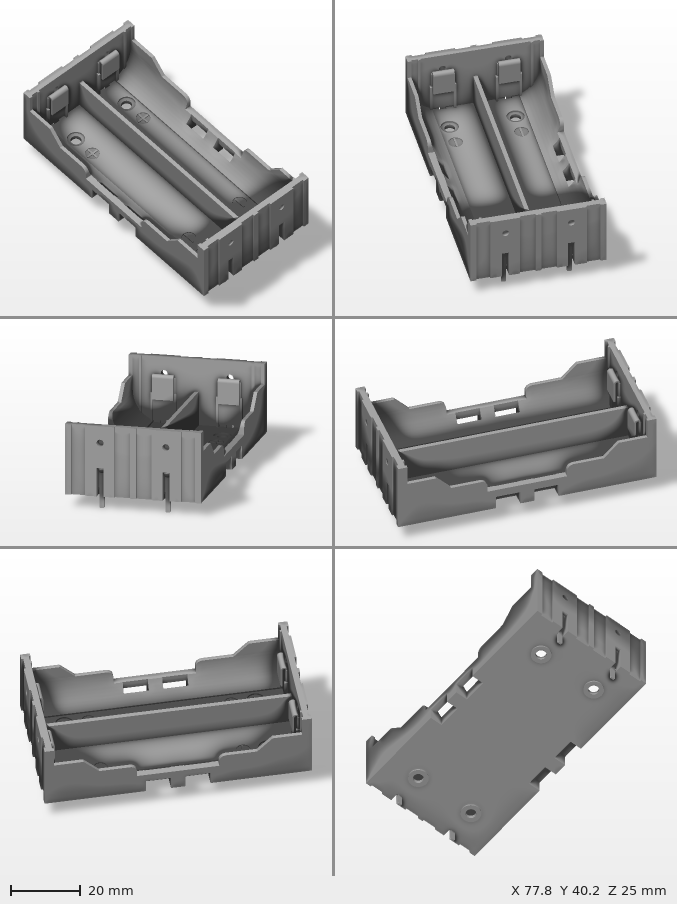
import cadquery as cq
import math

LENGTH = 77.8
WIDTH = 40.2
HEIGHT = 20.9
END_WALL = 2.3
SIDE_WALL = 1.1
INNER_END = LENGTH / 2 - END_WALL

BAY_Y = 9.7
FLOOR_Z = 1.3
CELL_RADIUS = WIDTH / 2 - SIDE_WALL - BAY_Y
CELL_AXIS_Z = 10.6
FLOOR_EDGE_Y = 12.9
DIVIDER_THICK = 1.25
DIVIDER_TOP = 11.35

POST_DEPTH = 2.8
SHOULDER_X = 27.55
SHOULDER_Z = 14.9
SILL_X = 23.0
SILL_Z = 10.4
FINGER_X = 12.0
FINGER_Z = 6.5
FINGER_FILLET = 2.0

WINDOW_X = 5.75
WINDOW_LENGTH = 7.3
WINDOW_INNER_Y = 16.2
WINDOW_FACE_Y = 18.2
WINDOW_HEIGHT = 4.05

GROOVE_DEPTH = 0.55
GROOVE_SPANS = [(0.85, 5.45), (14.2, 18.3)]

RIB_DEPTH = POST_DEPTH - END_WALL
RIB_WIDTH = 0.8
RIB_Y = 16.65
RAIL_DEPTH = 1.0
RAIL_WIDTH = 0.7
RAIL_TOP = 10.35

SLOT_WIDTH = 2.0
SLOT_TOP = 8.5
VENT_DIAMETER = 2.0
VENT_Z = 15.95

SCREW_X = 27.85
SCREW_DIAMETER = 3.1
COUNTERBORE_DIAMETER = 5.2
COUNTERBORE_DEPTH = 0.55
FOOT_DIAMETER = 5.9
FOOT_HEIGHT = 0.5
MARK_X = 20.8
MARK_DIAMETER = 4.2
MARK_DEPTH = 0.3
BAR_LENGTH = 3.9
BAR_WIDTH = 0.55

SHEET = 0.505
CONTACT_WIDTH = 6.3
BACK_LEAF_WIDTH = 6.85
CURL_RADIUS = 1.0
CONTACT_TOP = 15.95
FRONT_LEAF_BOTTOM = 8.55
BACK_LEAF_BOTTOM = 2.1
LEG_WIDTH = 1.5
LEG_BOTTOM = -4.05
LEG_CHAMFER = 0.2
BARB_BOTTOM = 6.45
BARB_PEAK = 7.9
BARB_DEPTH = 1.55


def block(x0, x1, y0, y1, z0, z1):
    """Box between two opposite corners, given in any order along each axis."""
    size = (abs(x1 - x0), abs(y1 - y0), abs(z1 - z0))
    centre = ((x0 + x1) / 2, (y0 + y1) / 2, (z0 + z1) / 2)
    return cq.Workplane("XY").box(*size).translate(centre)


def disc(x, y, z, diameter, height):
    """Upright cylinder whose base centre is at (x, y, z)."""
    return cq.Workplane("XY").circle(diameter / 2).extrude(height).translate((x, y, z))


def bay_cavity(side):
    """Space for one cell: flat floor, curved outer wall, then straight up and out of the top."""
    inner_y = DIVIDER_THICK / 2
    wall_y = BAY_Y + CELL_RADIUS
    edge_drop = math.sqrt(CELL_RADIUS**2 - (FLOOR_EDGE_Y - BAY_Y) ** 2)
    diagonal = CELL_RADIUS * math.sqrt(0.5)
    return (
        cq.Workplane("YZ")
        .moveTo(side * inner_y, FLOOR_Z)
        .lineTo(side * FLOOR_EDGE_Y, FLOOR_Z)
        .lineTo(side * FLOOR_EDGE_Y, CELL_AXIS_Z - edge_drop)
        .threePointArc((side * (BAY_Y + diagonal), CELL_AXIS_Z - diagonal), (side * wall_y, CELL_AXIS_Z))
        .lineTo(side * wall_y, HEIGHT)
        .lineTo(side * inner_y, HEIGHT)
        .close()
        .extrude(INNER_END, both=True)
    )


def side_opening(side):
    """Stepped opening in the upper part of one long wall."""
    post_x = LENGTH / 2 - POST_DEPTH
    half = [
        (post_x, HEIGHT),
        (post_x, SHOULDER_Z),
        (SHOULDER_X, SHOULDER_Z),
        (SILL_X, SILL_Z),
        (FINGER_X, SILL_Z),
        (FINGER_X, FINGER_Z),
    ]
    outline = half + [(-x, z) for x, z in reversed(half)]
    opening = cq.Workplane("XZ").polyline(outline).close().extrude(WIDTH / 2 - WINDOW_INNER_Y)
    for x in (-FINGER_X, FINGER_X):
        corner = cq.selectors.NearestToPointSelector((x, 0, SILL_Z))
        opening = opening.edges("|Y").edges(corner).fillet(FINGER_FILLET)
    opening = opening.translate((0, -WINDOW_INNER_Y, 0))
    return opening if side < 0 else opening.mirror("XZ")


def side_windows(side):
    """Two windows that pass under the lintel and break into the curved bay wall."""
    windows = cq.Workplane("XY")
    for x in (-WINDOW_X, WINDOW_X):
        x0 = x - WINDOW_LENGTH / 2
        x1 = x + WINDOW_LENGTH / 2
        windows = windows.add(block(x0, x1, side * WINDOW_INNER_Y, side * WIDTH / 2, 0, WINDOW_HEIGHT))
        windows = windows.add(block(x0, x1, side * WINDOW_INNER_Y, side * WINDOW_FACE_Y, 0, CELL_AXIS_Z))
    return windows.combine()


def polarity_mark(x, y, positive):
    """Shallow round recess that leaves a raised plus or minus sign."""
    z = FLOOR_Z - MARK_DEPTH
    recess = disc(x, y, z, MARK_DIAMETER, MARK_DEPTH)
    recess = recess.cut(cq.Workplane("XY").box(BAR_LENGTH, BAR_WIDTH, HEIGHT).translate((x, y, 0)))
    if positive:
        recess = recess.cut(cq.Workplane("XY").box(BAR_WIDTH, BAR_LENGTH, HEIGHT).translate((x, y, 0)))
    return recess


def end_grooves(end, side):
    """Shallow vertical grooves in one half of an outer end face."""
    outer_x = end * LENGTH / 2
    groove_x = outer_x - end * GROOVE_DEPTH
    grooves = cq.Workplane("XY")
    for y0, y1 in GROOVE_SPANS:
        grooves = grooves.add(block(groove_x, outer_x, side * y0, side * y1, 0, HEIGHT))
    return grooves.combine()


def end_ribs(end, side):
    """One full-height rib and the two contact rails of a bay, on the inner end face."""
    inner_x = end * INNER_END
    rib_x = inner_x - end * RIB_DEPTH
    rail_x = inner_x - end * RAIL_DEPTH
    rib_y = side * RIB_Y
    ribs = block(inner_x, rib_x, rib_y - RIB_WIDTH / 2, rib_y + RIB_WIDTH / 2, FLOOR_Z, HEIGHT)
    for edge in (-1, 1):
        rail_y = side * BAY_Y + edge * CONTACT_WIDTH / 2
        ribs = ribs.add(block(inner_x, rail_x, rail_y, rail_y + edge * RAIL_WIDTH, FLOOR_Z, RAIL_TOP))
    return ribs.combine()


def contact_seat(end, y):
    """Space for a contact: groove between the rails, leg slot and round vent in the end wall."""
    outer_x = end * LENGTH / 2
    inner_x = end * INNER_END
    sheet_x = inner_x - end * SHEET
    sheet_half = BACK_LEAF_WIDTH / 2
    slot_half = SLOT_WIDTH / 2
    groove = block(inner_x, sheet_x, y - sheet_half, y + sheet_half, BACK_LEAF_BOTTOM, RAIL_TOP)
    slot = block(outer_x, sheet_x, y - slot_half, y + slot_half, 0, SLOT_TOP)
    vent = cq.Workplane("YZ").center(y, VENT_Z).circle(VENT_DIAMETER / 2).extrude(END_WALL)
    vent = vent.translate((min(outer_x, inner_x), 0, 0))
    return groove.union(slot).union(vent)


def screw_hole(x, y):
    """Through hole with a wide counterbore in the floor."""
    hole = disc(x, y, -FOOT_HEIGHT, SCREW_DIAMETER, FLOOR_Z + FOOT_HEIGHT)
    return hole.union(disc(x, y, FLOOR_Z - COUNTERBORE_DEPTH, COUNTERBORE_DIAMETER, COUNTERBORE_DEPTH))


def make_housing():
    """Open tray with two bays, a low divider and four contact seats."""
    body = block(-LENGTH / 2, LENGTH / 2, -WIDTH / 2, WIDTH / 2, 0, HEIGHT)
    divider_half = DIVIDER_THICK / 2
    body = body.cut(block(-INNER_END, INNER_END, -divider_half, divider_half, DIVIDER_TOP, HEIGHT))
    for side in (-1, 1):
        y = side * BAY_Y
        body = body.cut(bay_cavity(side)).cut(side_opening(side)).cut(side_windows(side))
        for end in (-1, 1):
            screw_x = end * SCREW_X
            body = body.union(end_ribs(end, side))
            body = body.union(disc(screw_x, y, -FOOT_HEIGHT, FOOT_DIAMETER, FOOT_HEIGHT))
            body = body.cut(end_grooves(end, side))
            body = body.cut(contact_seat(end, y))
            body = body.cut(screw_hole(screw_x, y))
            body = body.cut(polarity_mark(end * MARK_X, y, positive=end < 0))
    return body.solids()


def make_contact(end, y):
    """Folded spring contact with a solder leg, lying against the inner end face."""
    back_x = -INNER_END
    axis_x = back_x + CURL_RADIUS
    front_x = axis_x + CURL_RADIUS
    axis_z = CONTACT_TOP - CURL_RADIUS
    inner_radius = CURL_RADIUS - SHEET

    leaf = (
        cq.Workplane("XZ")
        .moveTo(back_x, BACK_LEAF_BOTTOM)
        .lineTo(back_x, axis_z)
        .threePointArc((axis_x, CONTACT_TOP), (front_x, axis_z))
        .lineTo(front_x, FRONT_LEAF_BOTTOM)
        .lineTo(front_x - SHEET, FRONT_LEAF_BOTTOM)
        .lineTo(front_x - SHEET, axis_z)
        .threePointArc((axis_x, axis_z + inner_radius), (back_x + SHEET, axis_z))
        .lineTo(back_x + SHEET, BACK_LEAF_BOTTOM)
        .close()
        .extrude(CONTACT_WIDTH / 2, both=True)
    )
    leg = block(back_x, back_x + SHEET, -LEG_WIDTH / 2, LEG_WIDTH / 2, LEG_BOTTOM, BACK_LEAF_BOTTOM)
    leg = leg.faces("<Z").edges("|X").chamfer(LEG_CHAMFER)
    barb = (
        cq.Workplane("XZ")
        .polyline([(back_x, BARB_BOTTOM), (back_x - BARB_DEPTH, BARB_PEAK), (back_x, SLOT_TOP)])
        .close()
        .extrude(LEG_WIDTH / 2, both=True)
    )
    half_width = BACK_LEAF_WIDTH / 2
    back = block(back_x, back_x + SHEET, -half_width, half_width, BACK_LEAF_BOTTOM, axis_z)
    contact = leaf.union(back).union(leg).union(barb)
    if end > 0:
        contact = contact.mirror("YZ")
    return contact.translate((0, y, 0)).solids()


housing = make_housing()
contacts = [make_contact(end, side * BAY_Y) for end in (-1, 1) for side in (-1, 1)]

result = cq.Compound.makeCompound([housing.val(), *[contact.val() for contact in contacts]])